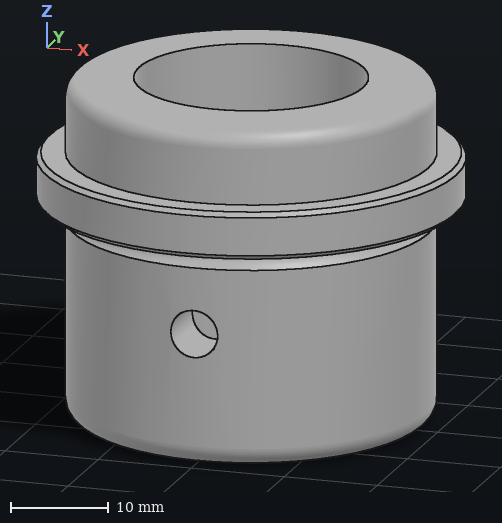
import cadquery as cq

height = 36.0
body_radius = 19.0
bore_radius = 12.0
end_fillet = 2.0

collar_radius = 22.0
collar_bottom = 23.0
collar_thickness = 5.0
collar_chamfer = 0.5

undercut_radius = 2.2
undercut_depth = 0.65
undercut_drop = 0.4

hole_diameter = 5.0
hole_height = 14.0


def make_body():
    cylinder = cq.Workplane("XY").circle(body_radius).extrude(height)
    return cylinder.faces("<Z or >Z").edges().fillet(end_fillet)


def make_undercut():
    """Torus biting into the body; the collar refills the part above its lower face."""
    section_center = body_radius - undercut_depth + undercut_radius
    section = (
        cq.Workplane("XZ")
        .center(section_center, collar_bottom - undercut_drop)
        .circle(undercut_radius)
    )
    return section.revolve(360, (-section_center, 0, 0), (-section_center, 1, 0))


def make_collar():
    disc = (
        cq.Workplane("XY")
        .workplane(offset=collar_bottom)
        .circle(collar_radius)
        .extrude(collar_thickness)
    )
    return disc.edges().chamfer(collar_chamfer)


def make_radial_hole():
    """Cutter running from the axis out through the -Y wall."""
    return (
        cq.Workplane("XZ")
        .center(0, hole_height)
        .circle(hole_diameter / 2)
        .extrude(collar_radius)
    )


bore = cq.Workplane("XY").circle(bore_radius).extrude(height)

result = make_body().cut(make_undercut()).union(make_collar())
result = result.cut(bore).cut(make_radial_hole())